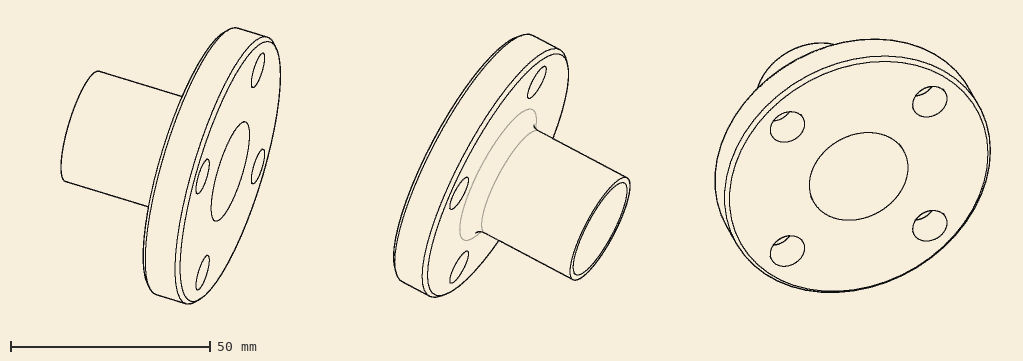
import cadquery as cq

flange_diameter = 70.0
total_length = 40.0
flange_thickness = 10.0
flange_chamfer = 1.0
pipe_diameter = 29.0
bore_diameter = 26.0
neck_fillet_radius = 4.0

bolt_hole_count = 4
bolt_hole_diameter = 9.0
bolt_circle_diameter = 53.0
first_bolt_angle = 45.0

flange_face_x = total_length - flange_thickness


def make_flange():
    """Disc with both outer rims chamfered."""
    disc = cq.Workplane("YZ", origin=(flange_face_x, 0, 0)).circle(flange_diameter / 2).extrude(flange_thickness)
    return disc.edges().chamfer(flange_chamfer)


def make_pipe():
    """Solid pipe body, from the open end to the flange face, flaring into the flange."""
    pipe_radius = pipe_diameter / 2
    flare_radius = pipe_radius + neck_fillet_radius
    flare_start_x = flange_face_x - neck_fillet_radius
    profile = (
        cq.Workplane("XY")
        .lineTo(0, pipe_radius)
        .lineTo(flare_start_x, pipe_radius)
        .radiusArc((flange_face_x, flare_radius), -neck_fillet_radius)
        .lineTo(flange_face_x, 0)
        .close()
    )
    return profile.revolve(360, (0, 0, 0), (1, 0, 0))


def make_bore():
    return cq.Workplane("YZ").circle(bore_diameter / 2).extrude(total_length)


def make_bolt_holes():
    return (
        cq.Workplane("YZ", origin=(flange_face_x, 0, 0))
        .polarArray(bolt_circle_diameter / 2, first_bolt_angle, 360, bolt_hole_count)
        .circle(bolt_hole_diameter / 2)
        .extrude(flange_thickness)
    )


result = make_flange().union(make_pipe()).cut(make_bore()).cut(make_bolt_holes())